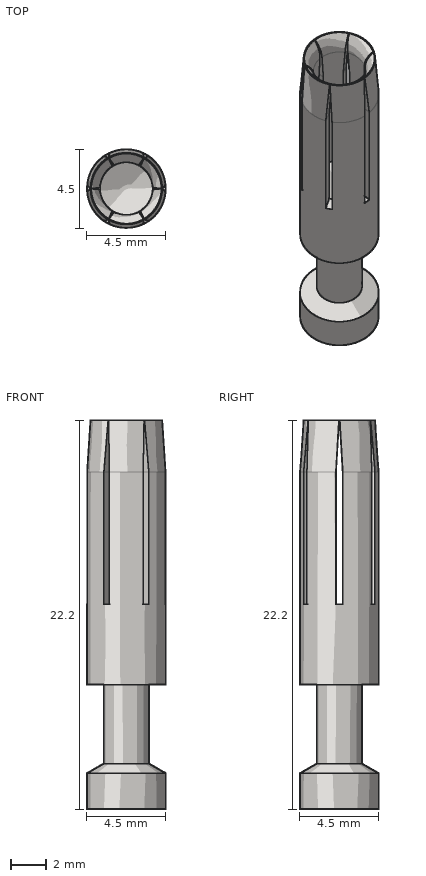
import cadquery as cq
import math

total_length = 22.2
body_diameter = 4.5

head_height = 2.05
neck_diameter = 2.6
neck_top = 7.1
head_cone_angle = 30.0

nose_length = 2.95
nose_tip_diameter = 4.1

bore_diameter = 3.0
mouth_diameter = 4.0
mouth_depth = 1.1
drill_point_angle = 118.0

slot_count = 6
slot_length = 10.5
slot_width = 0.37
slot_tip_width = 0.03

body_radius = body_diameter / 2
neck_radius = neck_diameter / 2
tip_radius = nose_tip_diameter / 2
bore_radius = bore_diameter / 2
mouth_radius = mouth_diameter / 2
head_cone_height = (body_radius - neck_radius) * math.tan(math.radians(head_cone_angle))
nose_base = total_length - nose_length
slot_bottom = total_length - slot_length
drill_point_depth = bore_radius / math.tan(math.radians(drill_point_angle / 2))


def make_body():
    """Solid turned pin: head, neck, socket barrel and tapered nose."""
    return (
        cq.Workplane("XZ")
        .lineTo(body_radius, 0)
        .lineTo(body_radius, head_height)
        .lineTo(neck_radius, head_height + head_cone_height)
        .lineTo(neck_radius, neck_top)
        .lineTo(body_radius, neck_top)
        .lineTo(body_radius, nose_base)
        .lineTo(tip_radius, total_length)
        .lineTo(0, total_length)
        .close()
        .revolve(360, (0, 0, 0), (0, 1, 0))
    )


def make_bore():
    """Bore that reaches the slot ends; its mouth arc is tangent to the bore wall."""
    flare = mouth_radius - bore_radius
    mouth_arc_radius = (flare**2 + mouth_depth**2) / (2 * flare)
    arc_centre_x = bore_radius + mouth_arc_radius
    arc_centre_z = total_length - mouth_depth
    half_sweep = math.asin(mouth_depth / mouth_arc_radius) / 2
    arc_middle = (
        arc_centre_x - mouth_arc_radius * math.cos(half_sweep),
        arc_centre_z + mouth_arc_radius * math.sin(half_sweep),
    )
    return (
        cq.Workplane("XZ")
        .moveTo(0, slot_bottom - drill_point_depth)
        .lineTo(bore_radius, slot_bottom)
        .lineTo(bore_radius, arc_centre_z)
        .threePointArc(arc_middle, (mouth_radius, total_length))
        .lineTo(0, total_length)
        .close()
        .revolve(360, (0, 0, 0), (0, 1, 0))
    )


def make_slot(angle):
    """Radial slot through one wall, narrowing along the nose."""
    half_width = slot_width / 2
    half_tip = slot_tip_width / 2
    return (
        cq.Workplane("YZ")
        .moveTo(-half_width, slot_bottom)
        .lineTo(half_width, slot_bottom)
        .lineTo(half_width, nose_base)
        .lineTo(half_tip, total_length)
        .lineTo(-half_tip, total_length)
        .lineTo(-half_width, nose_base)
        .close()
        .extrude(body_diameter)
        .rotate((0, 0, 0), (0, 0, 1), angle)
    )


result = make_body().cut(make_bore())
for index in range(slot_count):
    result = result.cut(make_slot(index * 360 / slot_count))